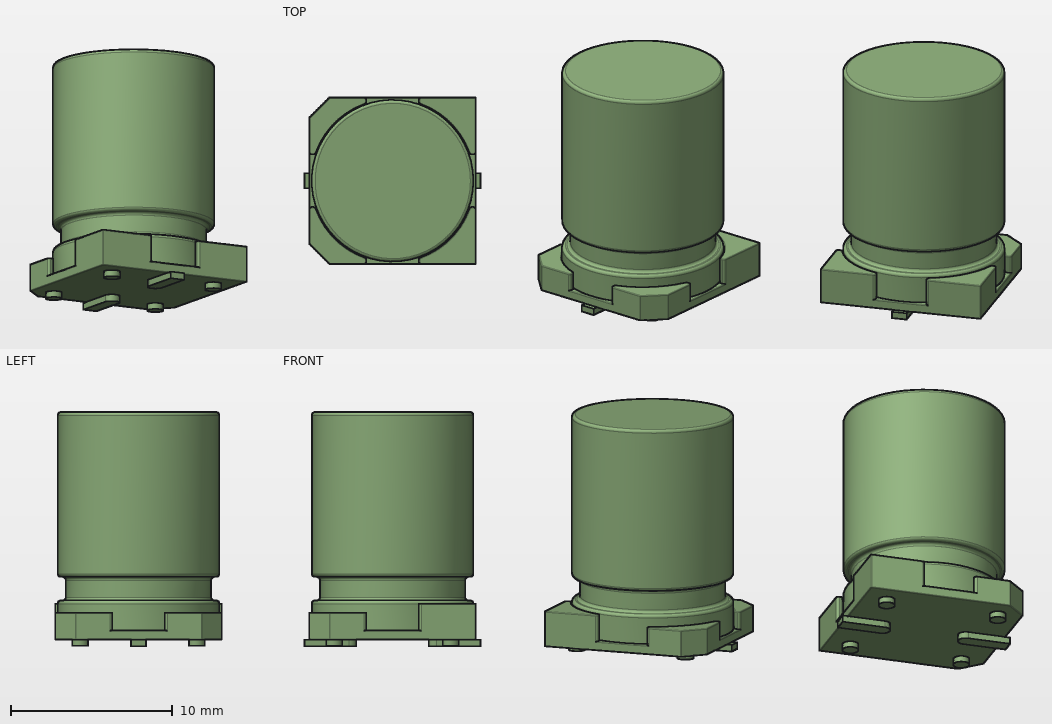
import cadquery as cq

total_height = 14.5
lead_thickness = 0.42
seat_z = 1.0
low_corner_z = 2.1
high_corner_z = 2.65

can_radius = 10.0 / 2
neck_radius = 9.0 / 2
groove_bottom_z = 2.85
groove_top_z = 4.3
can_round = 0.2

base_side = 10.3
corner_chamfer = 1.25
base_edge_round = 0.05
recess_clearance = 0.05
recess_radius = can_radius + recess_clearance
notch_width = 3.25
notch_edge_round = 0.15

lead_span = 10.9
lead_width = 0.95
lead_inner_x = 2.23
foot_diameter = 1.0
foot_offset = 3.61
foot_clearance = 0.04


def make_can():
    """Round can with a rounded rim and a rounded crimp groove near its foot."""
    can = (
        cq.Workplane("XY")
        .workplane(offset=seat_z)
        .circle(can_radius)
        .extrude(total_height - seat_z)
    )
    groove = (
        cq.Workplane("XY")
        .workplane(offset=groove_bottom_z)
        .circle(2 * can_radius)
        .circle(neck_radius)
        .extrude(groove_top_z - groove_bottom_z)
    )
    reach = 2 * can_radius
    above_seat = cq.selectors.BoxSelector(
        (-reach, -reach, groove_bottom_z - can_round),
        (reach, reach, total_height + can_round),
    )
    return can.cut(groove).edges(above_seat).edges("%CIRCLE").fillet(can_round)


def base_outline():
    """Square of the base with its two -X corners cut off, as a full-height block."""
    return (
        cq.Workplane("XY")
        .workplane(offset=lead_thickness)
        .rect(base_side, base_side)
        .extrude(high_corner_z - lead_thickness)
        .edges("|Z and <X")
        .chamfer(corner_chamfer)
    )


def slab_above(z, size_x, size_y, centre_x=0):
    """Block used as a cutter, standing on height z and reaching above the base."""
    return (
        cq.Workplane("XY")
        .workplane(offset=z)
        .center(centre_x, 0)
        .rect(size_x, size_y)
        .extrude(high_corner_z)
    )


def make_floor():
    """Lower plate of the base, up to the seat of the can, with all its edges rounded."""
    plate = base_outline().cut(slab_above(seat_z, base_side, base_side))
    return plate.edges().fillet(base_edge_round)


def make_corners():
    """Four posts left between the round recess and the notches, two low and two high."""
    recess = cq.Workplane("XY").circle(recess_radius).extrude(total_height)
    corners = (
        base_outline()
        .cut(slab_above(low_corner_z, base_side / 2, base_side, -base_side / 4))
        .cut(recess)
        .cut(slab_above(0, notch_width, base_side))
        .cut(slab_above(0, base_side, notch_width))
    )
    corners = corners.edges("|Z").edges(notch_edge_selector()).fillet(notch_edge_round)
    corners = corners.edges().fillet(base_edge_round)
    mid_plate_z = (lead_thickness + seat_z) / 2
    return corners.intersect(slab_above(mid_plate_z, base_side, base_side))


def notch_edge_selector():
    """Selects what lies beside the notches, well away from the base corners."""
    reach = base_side
    near = notch_width
    along_x = cq.selectors.BoxSelector((-reach, -near, 0), (reach, near, high_corner_z))
    along_y = cq.selectors.BoxSelector((-near, -reach, 0), (near, reach, high_corner_z))
    return along_x + along_y


def make_lead(direction):
    """Flat lead under the base, rounded at its inner end; direction is +1 or -1 along X."""
    arc_start_x = direction * (lead_inner_x + lead_width / 2)
    outer_x = direction * lead_span / 2
    half_width = lead_width / 2
    return (
        cq.Workplane("XY")
        .moveTo(outer_x, half_width)
        .lineTo(arc_start_x, half_width)
        .threePointArc((direction * lead_inner_x, 0), (arc_start_x, -half_width))
        .lineTo(outer_x, -half_width)
        .close()
        .extrude(lead_thickness)
    )


def make_feet():
    """Four round stand-off feet under the base corners, slightly shorter than the leads."""
    return (
        cq.Workplane("XY")
        .workplane(offset=foot_clearance)
        .rect(2 * foot_offset, 2 * foot_offset, forConstruction=True)
        .vertices()
        .circle(foot_diameter / 2)
        .extrude(lead_thickness - foot_clearance)
    )


result = make_floor().union(make_corners()).union(make_can()).union(make_feet())
for side in (-1, 1):
    result = result.union(make_lead(side))